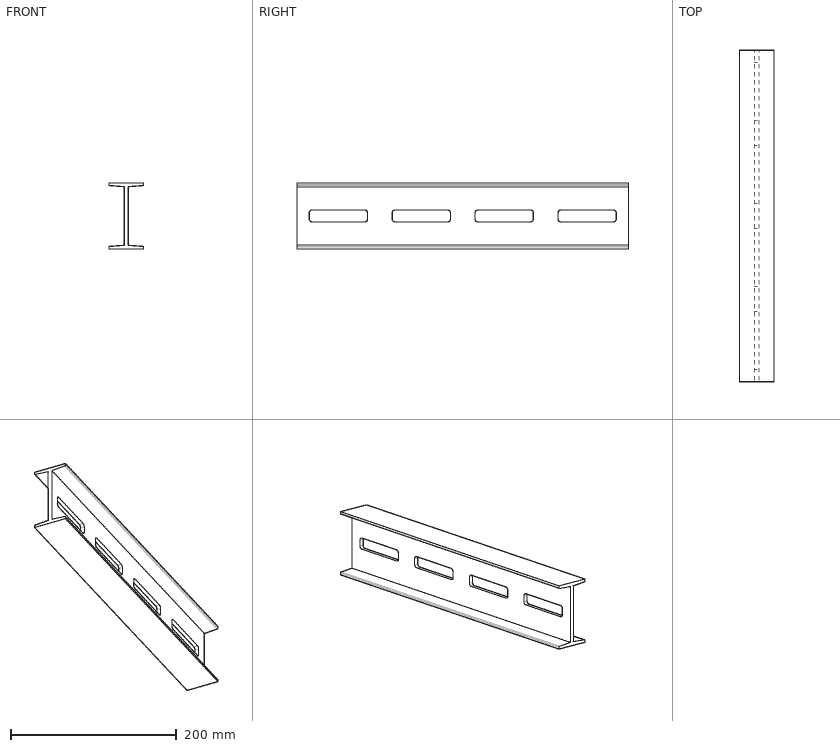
import cadquery as cq

length = 400.0
flange_width = 42.0
height = 80.0
web_thickness = 5.0
corner_thickness = 3.4
root_thickness = 5.0
tip_radius = 1.0

slot_count = 4
slot_length = 70.0
slot_height = 14.0
slot_corner_radius = 3.0
slot_pitch = length / slot_count


def make_flange():
    """Top flange: flat outer face, tapering underside and rounded inner corners at both tips."""
    top = height / 2
    tip_x = flange_width / 2
    corner_z = top - corner_thickness
    root_x = web_thickness / 2
    root_z = top - root_thickness
    pick_margin = tip_radius / 10
    outline = [
        (-tip_x, top),
        (tip_x, top),
        (tip_x, corner_z),
        (root_x, root_z),
        (-root_x, root_z),
        (-tip_x, corner_z),
    ]
    flange = cq.Workplane("XZ").polyline(outline).close().extrude(length / 2, both=True)
    corners = cq.selectors.BoxSelector(
        (-flange_width, -length, corner_z - pick_margin),
        (flange_width, length, corner_z + pick_margin),
    )
    return flange.edges("|Y").edges(corners).fillet(tip_radius)


def make_beam():
    """I-section running along Y, centred on the origin."""
    web = cq.Workplane("XY").box(web_thickness, length, height - 2 * root_thickness)
    top_flange = make_flange()
    return web.union(top_flange).union(top_flange.mirror("XY"))


def cut_slots(beam):
    """Cut the row of rounded rectangular slots through the web."""
    cutter = cq.Workplane("XY").box(flange_width, slot_length, slot_height)
    cutter = cutter.edges("|X").fillet(slot_corner_radius)
    for index in range(slot_count):
        slot_y = (index - (slot_count - 1) / 2) * slot_pitch
        beam = beam.cut(cutter.translate((0, slot_y, 0)))
    return beam


result = cut_slots(make_beam())